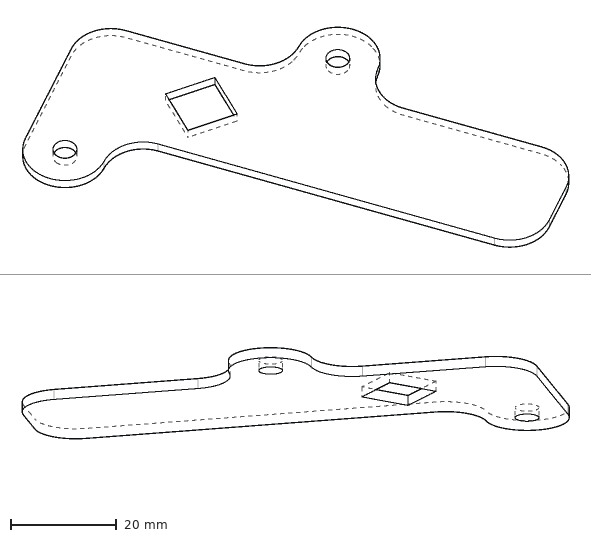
import cadquery as cq
import math

length = 100.0
thickness = 2.0
arm_width = 25.0
round_radius = 8.0
hole_diameter = 4.5
window_side = 10.2
pivot_offset = 20.0

lower_lug = (round_radius, round_radius)
window_center = (lower_lug[0] + pivot_offset, lower_lug[1] + pivot_offset)
upper_lug = (window_center[0] + pivot_offset, window_center[1] + pivot_offset)
arm_bottom = window_center[1] - arm_width / 2
arm_top = window_center[1] + arm_width / 2

fillet_rise = arm_top + round_radius - upper_lug[1]
fillet_reach = math.sqrt((2 * round_radius) ** 2 - fillet_rise ** 2)
left_fillet_x = upper_lug[0] - fillet_reach
right_fillet_x = upper_lug[0] + fillet_reach
lower_fillet_x = lower_lug[0] + fillet_reach

upper_contact_y = upper_lug[1] + fillet_rise / 2
lower_contact_y = lower_lug[1] - fillet_rise / 2


def plate():
    """Plate outline, followed clockwise from the lower end of the left edge."""
    return (
        cq.Workplane("XY")
        .moveTo(0, lower_lug[1])
        .lineTo(0, arm_top - round_radius)
        .radiusArc((round_radius, arm_top), round_radius)
        .lineTo(left_fillet_x, arm_top)
        .radiusArc((upper_lug[0] - fillet_reach / 2, upper_contact_y), -round_radius)
        .threePointArc(
            (upper_lug[0], upper_lug[1] + round_radius),
            (upper_lug[0] + fillet_reach / 2, upper_contact_y),
        )
        .radiusArc((right_fillet_x, arm_top), -round_radius)
        .lineTo(length - round_radius, arm_top)
        .radiusArc((length, arm_top - round_radius), round_radius)
        .lineTo(length, arm_bottom + round_radius)
        .radiusArc((length - round_radius, arm_bottom), round_radius)
        .lineTo(lower_fillet_x, arm_bottom)
        .radiusArc((lower_lug[0] + fillet_reach / 2, lower_contact_y), -round_radius)
        .threePointArc((lower_lug[0], lower_lug[1] - round_radius), (0, lower_lug[1]))
        .close()
        .extrude(thickness)
    )


def lug_holes():
    return (
        cq.Workplane("XY")
        .pushPoints([lower_lug, upper_lug])
        .circle(hole_diameter / 2)
        .extrude(thickness)
    )


def window():
    return (
        cq.Workplane("XY")
        .rect(window_side, window_side)
        .extrude(thickness)
        .rotate((0, 0, 0), (0, 0, 1), 45)
        .translate((window_center[0], window_center[1], 0))
    )


result = plate().cut(lug_holes()).cut(window())